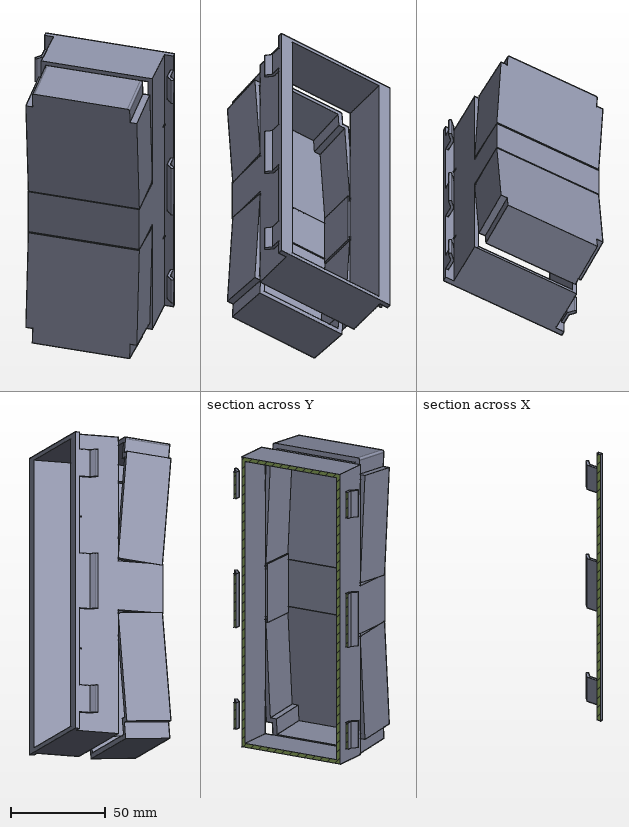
import cadquery as cq
import math


FRAME_WIDTH = 61.0
FRAME_HEIGHT = 160.2
FRAME_DEPTH = 26.0
FRAME_WALL = 2.4
FLANGE_WIDTH = 70.8
FLANGE_THICKNESS = 2.5

BRIDGE_HEIGHT = 26.4
BRIDGE_FRONT = 51.2
BRIDGE_WALL = 3.8

TONGUE_THICKNESS = 1.0
TONGUE_LENGTH = 3.0

OVERALL_WIDTH = 76.25
CLIP_THICKNESS = 1.6
CLIP_BEND_DEPTH = 8.2
CLIP_ANGLE = 45.0
MIDDLE_CLIP_LENGTH = 29.7
OUTER_CLIP_LENGTH = 14.6
OUTER_CLIP_CENTER = 63.7

GUSSET_CENTER = 35.6
GUSSET_THICKNESS = 0.5
GUSSET_REACH = 0.5
GUSSET_LENGTH = 2.7

ROCKER_TILT = 4.77
ROCKER_LENGTH = 67.1
ROCKER_DEPTH = 24.97
ROCKER_WALL = 2.7
ROCKER_FRONT = 50.8
SEAT_DEPTH = 0.49
HEEL_ROUND = 1.2
NOSE_LENGTH = 8.8
NOSE_INSET = 3.75
NOSE_ROUND = 1.2


def block(width, back, front, bottom, top):
    """Box centered on X, between two depths in front of Y = 0 and two heights."""
    box = cq.Workplane("XY").box(width, front - back, top - bottom, centered=(True, False, False))
    return box.translate((0, -front, bottom))


def make_clip(side, length, center):
    """Bent spring clip with a round tip, on the +X flange (side = 1) or the -X flange (side = -1)."""
    angle = math.radians(CLIP_ANGLE)
    along = (math.sin(angle), math.cos(angle))
    outward = (math.cos(angle), -math.sin(angle))
    radius = CLIP_THICKNESS / 2
    outer_x = FLANGE_WIDTH / 2
    inner_x = outer_x - CLIP_THICKNESS
    inner_bend_depth = CLIP_BEND_DEPTH + CLIP_THICKNESS * math.tan(angle / 2)

    bend_x = outer_x - radius
    bend_depth = (CLIP_BEND_DEPTH + inner_bend_depth) / 2
    tip_x = OVERALL_WIDTH / 2 - radius
    tip_depth = bend_depth + (tip_x - bend_x) / math.tan(angle)

    def tip_point(direction):
        return (side * (tip_x + radius * direction[0]), -(tip_depth + radius * direction[1]))

    return (
        cq.Workplane("XY")
        .moveTo(side * inner_x, 0)
        .lineTo(side * outer_x, 0)
        .lineTo(side * outer_x, -CLIP_BEND_DEPTH)
        .lineTo(*tip_point(outward))
        .threePointArc(tip_point(along), tip_point((-outward[0], -outward[1])))
        .lineTo(side * inner_x, -inner_bend_depth)
        .close()
        .extrude(length)
        .translate((0, 0, center - length / 2))
    )


def make_gusset(side, center):
    """Small triangular rib in the corner between a flange and the frame side."""
    wall_x = FRAME_WIDTH / 2
    return (
        cq.Workplane("XY")
        .polyline(
            [
                (side * wall_x, -FLANGE_THICKNESS),
                (side * (wall_x + GUSSET_REACH), -FLANGE_THICKNESS),
                (side * wall_x, -FLANGE_THICKNESS - GUSSET_LENGTH),
            ]
        )
        .close()
        .extrude(GUSSET_THICKNESS)
        .translate((0, 0, center - GUSSET_THICKNESS / 2))
    )


def tilt(shape, end):
    """Lean an upright rocker shape forward at the upper (end = 1) or lower (end = -1) bridge end."""
    shape = shape.rotate((0, 0, 0), (1, 0, 0), ROCKER_TILT)
    shape = shape.translate((0, -ROCKER_FRONT, BRIDGE_HEIGHT / 2 - SEAT_DEPTH))
    if end < 0:
        shape = shape.mirror("XY")
    return shape


def make_frame():
    """Open box with side flanges and clips, and a hollow bridge across its front."""
    half_height = FRAME_HEIGHT / 2
    half_bridge = BRIDGE_HEIGHT / 2
    frame = block(FRAME_WIDTH, 0, FRAME_DEPTH, -half_height, half_height)
    frame = frame.union(block(FLANGE_WIDTH, 0, FLANGE_THICKNESS, -half_height, half_height))
    frame = frame.union(block(FRAME_WIDTH, 0, BRIDGE_FRONT, -half_bridge, half_bridge))

    for end in (-1, 1):
        frame = frame.cut(tilt(block(FRAME_WIDTH, -ROCKER_DEPTH, 0, 0, ROCKER_LENGTH), end))

    tongue_span = FRAME_WIDTH - 2 * (BRIDGE_WALL - TONGUE_THICKNESS)
    tongue_front = BRIDGE_FRONT - BRIDGE_WALL
    tongue_top = half_bridge + TONGUE_LENGTH
    frame = frame.union(block(tongue_span, FRAME_DEPTH, tongue_front, -tongue_top, tongue_top))

    opening_height = half_height - FRAME_WALL
    opening_width = FRAME_WIDTH - 2 * FRAME_WALL
    frame = frame.cut(block(opening_width, 0, FRAME_DEPTH, -opening_height, opening_height))
    bridge_opening = FRAME_WIDTH - 2 * BRIDGE_WALL
    frame = frame.cut(block(bridge_opening, FRAME_DEPTH, tongue_front, -tongue_top, tongue_top))

    for side in (-1, 1):
        frame = frame.union(make_clip(side, MIDDLE_CLIP_LENGTH, 0))
        for end in (-1, 1):
            frame = frame.union(make_clip(side, OUTER_CLIP_LENGTH, end * OUTER_CLIP_CENTER))
            frame = frame.union(make_gusset(side, end * GUSSET_CENTER))
    return frame


def make_rocker(end, rounded_sides):
    """Tilted shell above (end = 1) or below (end = -1) the bridge, open at its back and toward the bridge."""
    shoulder = ROCKER_LENGTH - NOSE_LENGTH
    nose_width = FRAME_WIDTH - 2 * NOSE_INSET

    nose = block(nose_width, -ROCKER_DEPTH, 0, 0, ROCKER_LENGTH)
    if rounded_sides:
        nose = nose.edges("|Y and >Z").fillet(NOSE_ROUND)
    body = block(FRAME_WIDTH, -ROCKER_DEPTH, 0, 0, shoulder).union(nose)
    body = body.edges(">Y and <Z").fillet(HEEL_ROUND)

    for width, length in ((FRAME_WIDTH, shoulder), (nose_width, ROCKER_LENGTH)):
        hollow_width = width - 2 * ROCKER_WALL
        body = body.cut(block(hollow_width, -ROCKER_DEPTH, -ROCKER_WALL, 0, length - ROCKER_WALL))
    return tilt(body, end)


frame = make_frame()
rockers = [make_rocker(1, True), make_rocker(-1, False)]

result = cq.Compound.makeCompound([frame.val(), *[rocker.val() for rocker in rockers]])